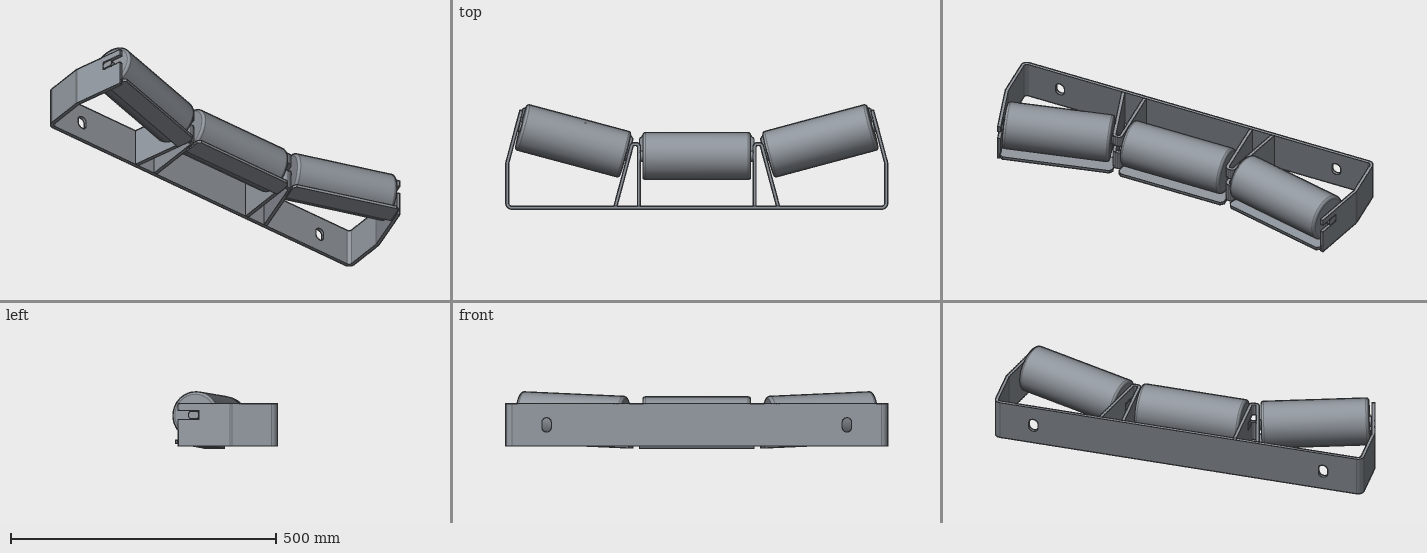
import cadquery as cq
import math

FRAME_WIDTH = 720.0
FRAME_HEIGHT = 80.0
SHEET = 6.0
FRAME_BEND = 6.0
LEG_KINK_Y = 88.0
LEG_TIP_Y = 187.5
WING_ANGLE = 15.0

BOLT_SLOT_X = 283.0
BOLT_SLOT_Z = 40.0
BOLT_SLOT_HEIGHT = 27.0
BOLT_SLOT_WIDTH = 18.0

BRACKET_REAR_Y = 126.0
BRACKET_BEND = 2.0
ROLLER_BAY = 212.0

ROLLER_DIAMETER = 89.0
ROLLER_LENGTH = 203.0
ROLLER_FILLET = 5.0
SHAFT_DIAMETER = 20.0
SHAFT_FLATS = 14.0
SHAFT_LENGTH = ROLLER_BAY + 2 * SHEET

MIDDLE_AXIS_Y = 100.5
MIDDLE_AXIS_Z = 48.5
WING_CENTRE_Z = 53.83
WING_TILT = 2.5
WING_AXIS_OFFSET = 64.56

SHAFT_SLOT_HEIGHT = 17.0
SHAFT_SLOT_FILLET = 2.0

GUARD_LENGTH = 216.0
GUARD_REACH = 38.5
GUARD_BOTTOM = 52.9
GUARD_CHAMFER = 6.0

SIN_WING = math.sin(math.radians(WING_ANGLE))
COS_WING = math.cos(math.radians(WING_ANGLE))
SIN_TILT = math.sin(math.radians(WING_TILT))
COS_TILT = math.cos(math.radians(WING_TILT))

JOURNAL_LENGTH = ROLLER_BAY - SHAFT_DIAMETER * SIN_TILT

WING_GUARD_SLIDE = GUARD_BOTTOM * SIN_TILT / COS_TILT

LEG_OUTER_STATION = -FRAME_WIDTH / 2 * COS_WING - LEG_KINK_Y * SIN_WING
WING_STATION = LEG_OUTER_STATION + SHEET + ROLLER_BAY / 2
WING_WALL_STATION = WING_STATION + ROLLER_BAY / 2


def wing_point(station, offset):
    """XY point at a distance along the left wing axis direction and one along its leg."""
    return (station * COS_WING + offset * SIN_WING, -station * SIN_WING + offset * COS_WING)


def wing_wall_x(y):
    """X of the roller side of the leaning bracket wall at a given Y."""
    return (WING_WALL_STATION + y * SIN_WING) / COS_WING


def unit(start, end):
    """Unit vector from one XY point toward another."""
    length = math.dist(start, end)
    return ((end[0] - start[0]) / length, (end[1] - start[1]) / length)


def bent_sheet(outer, inside_radius):
    """Upright sheet along an outer face path whose bends all turn left; the metal lies on the left."""
    directions = [unit(a, b) for a, b in zip(outer, outer[1:])]
    before = [directions[0]] + directions
    after = directions + [directions[-1]]
    inner = []
    for (x, y), d, e in zip(outer, before, after):
        miter = SHEET / (1 + d[0] * e[0] + d[1] * e[1])
        inner.append((x - (d[1] + e[1]) * miter, y + (d[0] + e[0]) * miter))
    sheet = cq.Workplane("XY").polyline(outer + inner[::-1]).close().extrude(FRAME_HEIGHT)
    for corners, radius in ((outer, inside_radius + SHEET), (inner, inside_radius)):
        for x, y in corners[1:-1]:
            corner_edge = cq.selectors.NearestToPointSelector((x, y, FRAME_HEIGHT / 2))
            sheet = sheet.edges("|Z").edges(corner_edge).fillet(radius)
    return sheet


def mirrored(shape):
    """Copy of a left-hand shape on the right-hand side."""
    return shape.mirror("YZ")


middle_plane = cq.Plane((0, MIDDLE_AXIS_Y, MIDDLE_AXIS_Z))
wing_plane = cq.Plane(
    origin=(*wing_point(WING_STATION, WING_AXIS_OFFSET), WING_CENTRE_Z),
    xDir=(COS_TILT * COS_WING, -COS_TILT * SIN_WING, -SIN_TILT),
    normal=(SIN_TILT * COS_WING, -SIN_TILT * SIN_WING, COS_TILT),
)


def rod(diameter, length):
    """Round bar along X, centred on the origin."""
    return cq.Workplane("YZ").workplane(offset=-length / 2).circle(diameter / 2).extrude(length)


def roller(plane):
    """Roller body with a round shaft whose tips are flattened to sit in the wall slots."""
    body = rod(ROLLER_DIAMETER, ROLLER_LENGTH).faces("<X or >X").edges().fillet(ROLLER_FILLET)
    journal = rod(SHAFT_DIAMETER, JOURNAL_LENGTH)
    tips = rod(SHAFT_DIAMETER, SHAFT_LENGTH)
    tips = tips.intersect(cq.Workplane("XY").box(SHAFT_LENGTH, SHAFT_DIAMETER, SHAFT_FLATS))
    return cq.Workplane(body.union(journal).union(tips).val().moved(plane.location))


def guard(plane, slide):
    """Flat strip from below the roller axis rearward, its rear corners cut off."""
    strip = cq.Workplane("XY", origin=(slide, 0, -GUARD_BOTTOM))
    strip = strip.box(GUARD_LENGTH, GUARD_REACH, SHEET, centered=(True, False, False))
    strip = strip.edges("|Z and >Y").chamfer(GUARD_CHAMFER)
    return cq.Workplane(strip.val().moved(plane.location))


def shaft_slots(plane):
    """Left and right cutters for the wall slots that take the shaft tips, open to the rear."""
    slot = cq.Workplane("XY").box(
        3 * SHEET, 2 * ROLLER_DIAMETER, SHAFT_SLOT_HEIGHT, centered=(True, False, True))
    slot = slot.edges("|X and <Y").fillet(SHAFT_SLOT_FILLET)
    wall_middle = (ROLLER_BAY + SHEET) / 2
    return [
        cq.Workplane(slot.translate((x, -SHAFT_DIAMETER / 2, 0)).val().moved(plane.location))
        for x in (-wall_middle, wall_middle)
    ]


def frame():
    """Front plate with two end legs that lean inward to carry the outer rollers."""
    half = FRAME_WIDTH / 2
    tip_x = -half + (LEG_TIP_Y - LEG_KINK_Y) * SIN_WING / COS_WING
    left_side = [(tip_x, LEG_TIP_Y), (-half, LEG_KINK_Y), (-half, 0)]
    right_side = [(-x, y) for x, y in reversed(left_side)]
    body = bent_sheet(left_side + right_side, FRAME_BEND)
    bolt_slots = (
        cq.Workplane("XZ")
        .pushPoints([(-BOLT_SLOT_X, BOLT_SLOT_Z), (BOLT_SLOT_X, BOLT_SLOT_Z)])
        .slot2D(BOLT_SLOT_HEIGHT, BOLT_SLOT_WIDTH, 90)
        .extrude(-SHEET)
    )
    leg_slot, _ = shaft_slots(wing_plane)
    body = body.cut(bolt_slots)
    for cutter in (leg_slot, left_guard):
        body = body.cut(cutter).cut(mirrored(cutter))
    return body


def left_bracket():
    """Bent sheet with one straight wall for the middle roller and one leaning wall."""
    straight_x = -ROLLER_BAY / 2
    outer = [
        (straight_x, 0),
        (straight_x, BRACKET_REAR_Y),
        (wing_wall_x(BRACKET_REAR_Y), BRACKET_REAR_Y),
        (wing_wall_x(-SHEET), -SHEET),
    ]
    body = bent_sheet(outer, BRACKET_BEND)
    front_plate = cq.Workplane("XY").box(
        FRAME_WIDTH, 3 * SHEET, FRAME_HEIGHT, centered=(True, False, False))
    body = body.cut(front_plate.translate((0, -2 * SHEET, 0)))
    straight_wall_slot, _ = shaft_slots(middle_plane)
    _, leaning_wall_slot = shaft_slots(wing_plane)
    for cutter in (straight_wall_slot, leaning_wall_slot, middle_guard, left_guard):
        body = body.cut(cutter)
    return body


middle_roller = roller(middle_plane)
left_roller = roller(wing_plane)
right_roller = mirrored(left_roller)

middle_guard = guard(middle_plane, 0)
left_guard = guard(wing_plane, WING_GUARD_SLIDE)
right_guard = mirrored(left_guard)

bracket = left_bracket()

bodies = [
    frame(),
    bracket,
    mirrored(bracket),
    middle_roller,
    left_roller,
    right_roller,
    middle_guard,
    left_guard,
    right_guard,
]
result = cq.Compound.makeCompound([body.solids().val() for body in bodies])